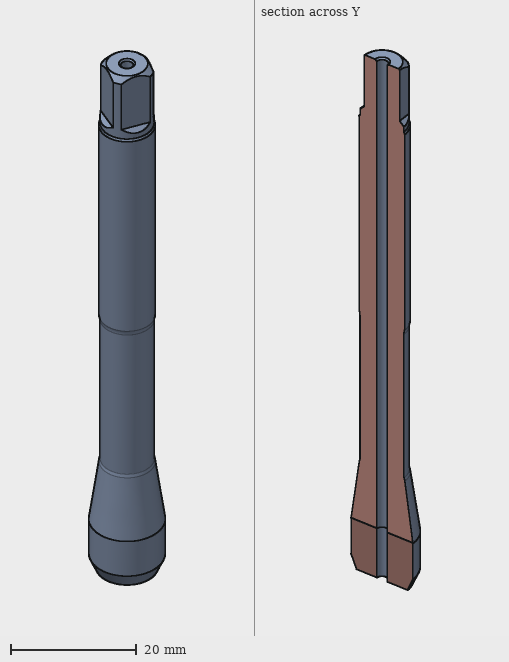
import cadquery as cq
import math

total_length = 100.0
bore_diameter = 2.0
countersink_diameter = 2.6

head_diameter = 12.2
head_length = 9.5
tip_diameter = 10.0
tip_height = 2.6

shank_diameter = 9.0
neck_diameter = 8.7
collar_diameter = 8.6
flare_top = 21.0
neck_bottom = 21.6
neck_top = 49.3
blend_radius = 2.5
shank_top = 88.2
shank_chamfer_height = 0.4

square_width = 7.0
square_base = 90.0
ledge_angle = 45.0
end_chamfer = 1.0
ledge_width = 3.0


def flat_cutter():
    """Prism that mills one drive flat and the sloping ledge under it."""
    flat_x = square_width / 2
    outer_x = flat_x + ledge_width
    ledge_drop = ledge_width * math.tan(math.radians(ledge_angle))
    return (
        cq.Workplane("XZ")
        .moveTo(flat_x, total_length)
        .lineTo(flat_x, square_base)
        .lineTo(outer_x, square_base - ledge_drop)
        .lineTo(outer_x, total_length)
        .close()
        .extrude(shank_diameter, both=True)
    )


def make_shank():
    """Flared, necked shank with a square drive and a central bore."""
    shank_radius = shank_diameter / 2
    neck_radius = neck_diameter / 2
    collar_radius = collar_diameter / 2
    bore_radius = bore_diameter / 2
    countersink_radius = countersink_diameter / 2

    blend_rise = shank_radius - neck_radius
    blend_angle = math.acos(1 - blend_rise / blend_radius)
    blend_height = blend_radius * math.sin(blend_angle)
    blend_mid = (
        neck_radius + blend_radius * (1 - math.cos(blend_angle / 2)),
        neck_top + blend_radius * math.sin(blend_angle / 2),
    )

    shank = (
        cq.Workplane("XZ")
        .moveTo(bore_radius, head_length)
        .lineTo(head_diameter / 2, head_length)
        .lineTo(shank_radius, flare_top)
        .lineTo(neck_radius, neck_bottom)
        .lineTo(neck_radius, neck_top)
        .threePointArc(blend_mid, (shank_radius, neck_top + blend_height))
        .lineTo(shank_radius, shank_top - shank_chamfer_height)
        .lineTo(collar_radius, shank_top)
        .lineTo(collar_radius, total_length - end_chamfer)
        .lineTo(collar_radius - end_chamfer, total_length)
        .lineTo(countersink_radius, total_length)
        .lineTo(bore_radius, total_length - (countersink_radius - bore_radius))
        .close()
        .revolve(360, (0, 0, 0), (0, 1, 0))
    )
    for quarter in range(4):
        shank = shank.cut(flat_cutter().rotate((0, 0, 0), (0, 0, 1), 90 * quarter))
    return shank


def make_head():
    """Cylindrical head with a tapered tip, seated on the wide end of the flare."""
    return (
        cq.Workplane("XZ")
        .moveTo(bore_diameter / 2, 0)
        .lineTo(tip_diameter / 2, 0)
        .lineTo(head_diameter / 2, tip_height)
        .lineTo(head_diameter / 2, head_length)
        .lineTo(bore_diameter / 2, head_length)
        .close()
        .revolve(360, (0, 0, 0), (0, 1, 0))
    )


shank = make_shank()
head = make_head()

result = cq.Compound.makeCompound([shank.val(), head.val()])